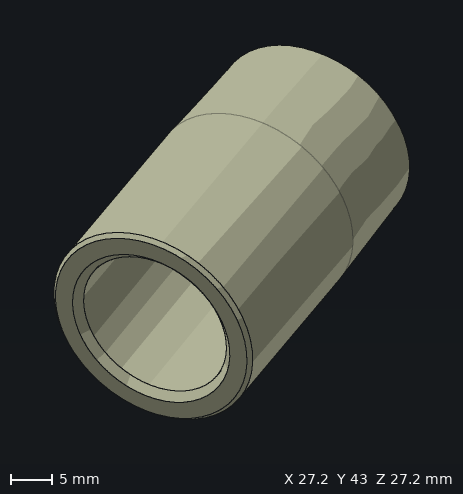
import cadquery as cq

length = 43.0
outer_diameter = 27.2
bore_radius = 9.75
spigot_length = 16.6
spigot_tip_radius = 13.1
front_chamfer = 0.5
back_chamfer = 1.0
bore_chamfer = 1.0

outer_radius = outer_diameter / 2
front_y = -length / 2
back_y = length / 2
spigot_start_y = back_y - spigot_length

half_section = [
    (front_y, bore_radius + bore_chamfer),
    (front_y, outer_radius - front_chamfer),
    (front_y + front_chamfer, outer_radius),
    (spigot_start_y, outer_radius),
    (back_y - back_chamfer, spigot_tip_radius),
    (back_y, spigot_tip_radius - back_chamfer),
    (back_y, bore_radius),
    (front_y + bore_chamfer, bore_radius),
]

result = (
    cq.Workplane("YZ")
    .polyline(half_section)
    .close()
    .revolve(360, (0, 0, 0), (1, 0, 0))
)